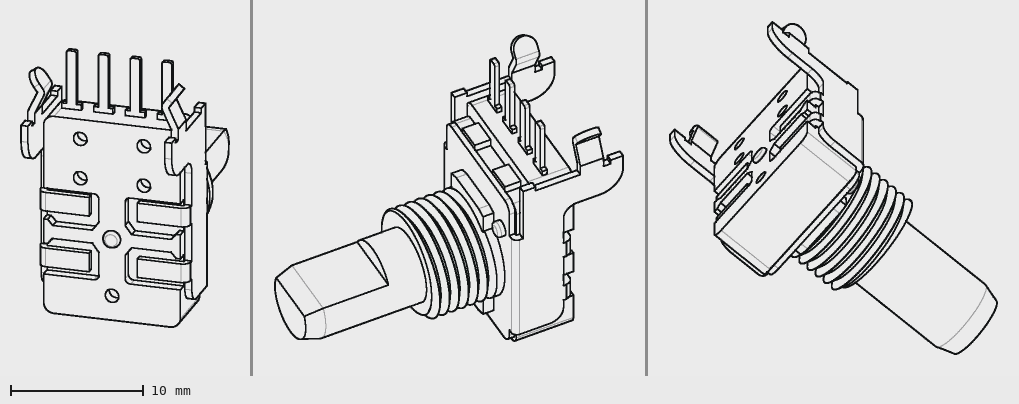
import cadquery as cq
import math


BODY_HALF_WIDTH = 5.4
BODY_TOP = 9.39
BODY_BOTTOM = -6.6
BODY_DEPTH = 4.85
BODY_CORNER_RADIUS = 0.8
REAR_BLOCK_DEPTH = 3.5
FRONT_BLOCK_TOP = 7.85
FRONT_BLOCK_RADIUS = 0.6
LUG_TOP = 8.48
LUG_INNER = 1.48
LUG_OUTER = 3.51

HOLE_RADIUS = 0.53
HOLE_DEPTH = 1.0
HOLE_CENTERS = [(-2.5, 7.8), (2.5, 7.8), (-2.5, 4.62), (2.5, 4.62), (0, -4.62)]
RIVET_RADIUS = 0.68
RIVET_HEIGHT = 0.3
RIVET_ROUND = 0.2
POCKET_DEPTH = 0.85
POCKET_FAR = 3.5
POCKET_NEAR = 0.53
POCKET_INNER_X = 1.03
POCKET_ROUND = 0.43
POCKET_CHAMFER_X = 0.53
POCKET_CHAMFER_Z = 0.7
POCKET_MOUTH_Z = 0.98
POCKET_MOUTH_X = 5.07
POCKET_SLOPE_X = 4.67

PLATE_THICKNESS = 0.48
PLATE_HALF_WIDTH = 5.2
PLATE_TOP = 8.08
PLATE_BOTTOM = -6.5
PLATE_TOP_RADIUS = 0.8
PLATE_BOTTOM_RADIUS = 1.03
WING_THICKNESS = 0.55
WING_TOP = 10.0
WING_NOTCH_TOP = 9.61
WING_FRONT = 4.55
WING_REAR = -3.92
WING_REAR_NOTCH = -2.85
WING_ARM_BOTTOM = 6.75
WING_ARM_RADIUS = 1.95
WING_BACK = 1.13
BEND_ROUND_SHARE = 0.99
BEND_TOP = 5.02
BEND_BOTTOM = -4.97
TONGUE_CENTER = 2.25
TONGUE_WIDTH = 1.5
TONGUE_INNER_X = 1.9
TONGUE_SETBACK = 0.05

LEG_REAR = -2.25
LEG_WIDTH = 1.95
LEG_BEND_Z = 10.5
LEG_KNEE_Z = 12.12
LEG_LEAN = math.radians(25)
LEG_TIP_LEAN = math.radians(35.5)
LEG_TIP_LENGTH = 1.48

PIN_PITCH = 2.5
PIN_COUNT = 4
PIN_WIDTH = 0.78
PIN_TOP = 14.1
PIN_ROUND = 0.18
PIN_SHOULDER_WIDTH = 1.53
PIN_SHOULDER_TOP = 9.81
PIN_BACK = 1.78
PIN_THICKNESS = 0.4

BUSHING_RADIUS = 4.45
BUSHING_END = 11.2
THREAD_PITCH = 0.8
THREAD_DEPTH = 0.63
THREAD_CREST = 0.03
THREAD_TURNS = 7
THREAD_RUNOUT_TURNS = 0.75
THREAD_CLEARANCE = 0.013
SEAM_ANGLE = 30
KEY_END = 6.22
KEY_TOP = 5.37
KEY_BASE = 3.51
KEY_HALF_WIDTH = 2.6
KEY_FLAT_HALF_WIDTH = 1.85
KEY_SHOULDER = 5.15
BOSS_RADIUS = 0.63
BOSS_X = 3.97
BOSS_Z = 4.77
BOSS_HEIGHT = 0.6
BOSS_ROUND = 0.23
SHAFT_DIAMETER = 6.0
SHAFT_END = 21.18
SHAFT_TIP_LENGTH = 1.45
SHAFT_TIP_RADIUS = 2.55
FLAT_LENGTH = 6.98
FLAT_HEIGHT = 1.5
FLAT_TIP_HEIGHT = 1.08

SHAFT_RADIUS = SHAFT_DIAMETER / 2
PLATE_FRONT = BODY_DEPTH + PLATE_THICKNESS
THREAD_START = BUSHING_END + THREAD_PITCH * (THREAD_RUNOUT_TURNS - THREAD_TURNS)
WING_OUTER_X = BODY_HALF_WIDTH + WING_THICKNESS


def block(x_range, y_range, z_range):
    """Box given by its two bounds along each axis."""
    size = [high - low for low, high in (x_range, y_range, z_range)]
    corner = (x_range[0], y_range[0], z_range[0])
    return cq.Workplane("XY").box(*size, centered=False).translate(corner)


def facing_front(y):
    """XZ sketch plane at the given Y; extrude by a negative length to go toward +Y."""
    return cq.Workplane("XZ", origin=(0, y, 0))


def both_sides(solid):
    """The solid together with its mirror image across X = 0."""
    return solid.union(solid.mirror("YZ"))


def upright_block(half_width, bottom, top, y_range, bottom_radius, top_radius):
    """Upright block whose bottom and top corners have their own radii."""
    middle = (bottom + top) / 2
    low_half = block((-half_width, half_width), y_range, (bottom, middle))
    high_half = block((-half_width, half_width), y_range, (middle, top))
    low_half = low_half.faces("<Z").edges("|Y").fillet(bottom_radius)
    high_half = high_half.faces(">Z").edges("|Y").fillet(top_radius)
    return low_half.union(high_half).clean()


def pocket():
    """Recess at the upper left of the back face, open to the side."""
    side_x = -BODY_HALF_WIDTH
    inner_x = -POCKET_INNER_X
    outline = (
        facing_front(0)
        .moveTo(side_x, POCKET_FAR)
        .lineTo(inner_x - POCKET_ROUND, POCKET_FAR)
        .radiusArc((inner_x, POCKET_FAR - POCKET_ROUND), POCKET_ROUND)
        .lineTo(inner_x, POCKET_NEAR + POCKET_CHAMFER_Z)
        .lineTo(inner_x - POCKET_CHAMFER_X, POCKET_NEAR)
        .lineTo(-POCKET_SLOPE_X, POCKET_NEAR)
        .lineTo(-POCKET_MOUTH_X, POCKET_MOUTH_Z)
        .lineTo(side_x, POCKET_MOUTH_Z)
        .close()
    )
    return outline.extrude(-POCKET_DEPTH)


def housing():
    """Plastic housing with its lugs, back pockets, blind holes and centre rivet."""
    rear = upright_block(
        BODY_HALF_WIDTH, BODY_BOTTOM, BODY_TOP, (0, REAR_BLOCK_DEPTH),
        BODY_CORNER_RADIUS, BODY_CORNER_RADIUS,
    )
    front = upright_block(
        BODY_HALF_WIDTH, BODY_BOTTOM, FRONT_BLOCK_TOP, (REAR_BLOCK_DEPTH, BODY_DEPTH),
        BODY_CORNER_RADIUS, FRONT_BLOCK_RADIUS,
    )
    lug = block((LUG_INNER, LUG_OUTER), (REAR_BLOCK_DEPTH, BODY_DEPTH), (0, LUG_TOP))
    body = rear.union(front).union(both_sides(lug))

    upper_pockets = both_sides(pocket())
    body = body.cut(upper_pockets).cut(upper_pockets.mirror("XY"))
    holes = facing_front(0).pushPoints(HOLE_CENTERS).circle(HOLE_RADIUS).extrude(-HOLE_DEPTH)
    rivet = facing_front(0).circle(RIVET_RADIUS).extrude(RIVET_HEIGHT)
    rivet = rivet.faces("<Y").edges().fillet(RIVET_ROUND)
    return body.cut(holes).union(rivet)


def wing():
    """Left side wall of the bracket, cut to an outline in Y and Z."""
    outline = (
        cq.Workplane("YZ", origin=(-WING_OUTER_X, 0, 0))
        .moveTo(WING_FRONT, WING_TOP)
        .lineTo(WING_FRONT, BEND_TOP)
        .lineTo(BODY_DEPTH, BEND_TOP)
        .lineTo(BODY_DEPTH, BEND_BOTTOM)
        .lineTo(WING_BACK + WING_BACK, BEND_BOTTOM)
        .radiusArc((WING_BACK, BEND_BOTTOM + WING_BACK), WING_BACK)
        .lineTo(WING_BACK, WING_ARM_BOTTOM - WING_BACK)
        .radiusArc((0, WING_ARM_BOTTOM), -WING_BACK)
        .lineTo(WING_REAR + WING_ARM_RADIUS, WING_ARM_BOTTOM)
        .radiusArc((WING_REAR, WING_ARM_BOTTOM + WING_ARM_RADIUS), WING_ARM_RADIUS)
        .lineTo(WING_REAR, WING_TOP)
        .lineTo(WING_REAR_NOTCH, WING_TOP)
        .lineTo(WING_REAR_NOTCH, WING_NOTCH_TOP)
        .lineTo(REAR_BLOCK_DEPTH, WING_NOTCH_TOP)
        .lineTo(REAR_BLOCK_DEPTH, WING_TOP)
        .close()
    )
    return outline.extrude(WING_THICKNESS)


def snap_leg():
    """Leg above the left wing: it leans inward to a knee, then outward to a round tip."""
    inner_x = -BODY_HALF_WIDTH
    foot_z = WING_ARM_BOTTOM + WING_ARM_RADIUS
    knee_x = -WING_OUTER_X + (LEG_KNEE_Z - LEG_BEND_Z) * math.tan(LEG_LEAN)

    def around_knee(angle):
        """Point one thickness away from the knee, on its inner side."""
        x = knee_x + WING_THICKNESS * math.cos(angle)
        z = LEG_KNEE_Z + WING_THICKNESS * math.sin(angle)
        return (x, z)

    tip_start = around_knee(LEG_TIP_LEAN)
    lower = (
        facing_front(LEG_REAR)
        .moveTo(-WING_OUTER_X, foot_z)
        .lineTo(-WING_OUTER_X, LEG_BEND_Z)
        .lineTo(knee_x, LEG_KNEE_Z)
        .lineTo(*tip_start)
        .threePointArc(around_knee(0), around_knee(-LEG_LEAN))
        .lineTo(inner_x, LEG_BEND_Z - WING_THICKNESS * math.tan(LEG_LEAN / 2))
        .lineTo(inner_x, foot_z)
        .close()
        .extrude(-LEG_WIDTH)
    )

    tip_plane = cq.Plane(
        origin=(knee_x, LEG_REAR + LEG_WIDTH / 2, LEG_KNEE_Z),
        xDir=(0, 1, 0),
        normal=(math.cos(LEG_TIP_LEAN), 0, math.sin(LEG_TIP_LEAN)),
    )
    half_width = LEG_WIDTH / 2
    straight = LEG_TIP_LENGTH - half_width
    tip = (
        cq.Workplane(tip_plane)
        .moveTo(half_width, 0)
        .lineTo(half_width, straight)
        .threePointArc((0, LEG_TIP_LENGTH), (-half_width, straight))
        .lineTo(-half_width, 0)
        .close()
        .extrude(WING_THICKNESS)
    )
    return lower.union(tip)


def tongue():
    """Finger bent from the left wing into the upper left pocket."""
    bend_x = TONGUE_SETBACK - WING_OUTER_X
    rear = POCKET_DEPTH - WING_THICKNESS
    finger = (
        cq.Workplane("XY", origin=(0, 0, TONGUE_CENTER))
        .moveTo(bend_x, POCKET_DEPTH)
        .radiusArc((bend_x + WING_THICKNESS, rear), -WING_THICKNESS)
        .lineTo(-TONGUE_INNER_X, rear)
        .lineTo(-TONGUE_INNER_X, POCKET_DEPTH)
        .close()
        .extrude(TONGUE_WIDTH / 2, both=True)
    )
    z_range = (TONGUE_CENTER - TONGUE_WIDTH / 2, TONGUE_CENTER + TONGUE_WIDTH / 2)
    root = block((-WING_OUTER_X, -BODY_HALF_WIDTH), (POCKET_DEPTH, WING_BACK), z_range)
    return finger.union(root)


def bracket():
    """Sheet-metal front plate bent back into two side wings."""
    plate = upright_block(
        PLATE_HALF_WIDTH, PLATE_BOTTOM, PLATE_TOP, (BODY_DEPTH, PLATE_FRONT),
        PLATE_BOTTOM_RADIUS, PLATE_TOP_RADIUS,
    )
    bend = block((-WING_OUTER_X, WING_OUTER_X), (BODY_DEPTH, PLATE_FRONT), (BEND_BOTTOM, BEND_TOP))
    bend = bend.faces(">Y").edges("|Z").fillet(PLATE_THICKNESS * BEND_ROUND_SHARE)
    fingers = tongue().union(tongue().mirror("XY"))
    side = wing().union(snap_leg()).union(fingers)
    return plate.union(bend).union(both_sides(side))


def pins():
    """Row of flat terminal pins, each with a wider shoulder at its foot."""
    row = cq.Workplane("XY")
    y_range = (PIN_BACK, PIN_BACK + PIN_THICKNESS)
    shoulder_half = PIN_SHOULDER_WIDTH / 2
    for index in range(PIN_COUNT):
        x = (index - (PIN_COUNT - 1) / 2) * PIN_PITCH
        pin = block((x - PIN_WIDTH / 2, x + PIN_WIDTH / 2), y_range, (BODY_TOP, PIN_TOP))
        pin = pin.faces(">Z").edges("|Y").fillet(PIN_ROUND)
        shoulder = block((x - shoulder_half, x + shoulder_half), y_range, (BODY_TOP, PIN_SHOULDER_TOP))
        row = row.union(pin).union(shoulder)
    return row


def thread_groove():
    """Right-handed V groove that starts at the bottom (-Z) of the bushing and runs out of its end."""
    root_radius = BUSHING_RADIUS - THREAD_DEPTH
    cut_radius = BUSHING_RADIUS + THREAD_CLEARANCE
    half_at_surface = (THREAD_PITCH - THREAD_CREST) / 2
    half_at_cut = half_at_surface * (cut_radius - root_radius) / THREAD_DEPTH
    path = cq.Wire.makeHelix(THREAD_PITCH, THREAD_PITCH * THREAD_TURNS, root_radius)
    groove = (
        cq.Workplane("XZ")
        .polyline([(root_radius, 0), (cut_radius, -half_at_cut), (cut_radius, half_at_cut)])
        .close()
        .sweep(cq.Workplane(path), isFrenet=True)
    )
    upright = groove.rotate((0, 0, 0), (0, 0, 1), 90).rotate((0, 0, 0), (1, 0, 0), -90)
    return upright.translate((0, THREAD_START, 0))


def bushing():
    """Threaded barrel with the locating key and two bosses at its foot."""
    barrel = facing_front(BODY_DEPTH).circle(BUSHING_RADIUS).extrude(BODY_DEPTH - BUSHING_END)
    barrel = barrel.rotate((0, 0, 0), (0, 1, 0), SEAM_ANGLE).cut(thread_groove())
    half_key = (
        facing_front(PLATE_FRONT)
        .moveTo(-KEY_HALF_WIDTH, KEY_BASE)
        .lineTo(-KEY_HALF_WIDTH, KEY_SHOULDER)
        .lineTo(-KEY_FLAT_HALF_WIDTH, KEY_TOP)
        .lineTo(KEY_FLAT_HALF_WIDTH, KEY_TOP)
        .lineTo(KEY_HALF_WIDTH, KEY_SHOULDER)
        .lineTo(KEY_HALF_WIDTH, KEY_BASE)
        .close()
        .extrude(PLATE_FRONT - KEY_END)
    )
    bosses = (
        facing_front(PLATE_FRONT)
        .pushPoints([(-BOSS_X, BOSS_Z), (BOSS_X, -BOSS_Z)])
        .circle(BOSS_RADIUS)
        .extrude(-BOSS_HEIGHT)
        .faces(">Y")
        .edges()
        .fillet(BOSS_ROUND)
    )
    return barrel.union(half_key).union(half_key.mirror("XY")).union(bosses)


def shaft():
    """D-shaped shaft with a tapered tip."""
    tip_start = SHAFT_END - SHAFT_TIP_LENGTH
    rod = (
        cq.Workplane("XY")
        .moveTo(0, BUSHING_END)
        .lineTo(SHAFT_RADIUS, BUSHING_END)
        .lineTo(SHAFT_RADIUS, tip_start)
        .lineTo(SHAFT_TIP_RADIUS, SHAFT_END)
        .lineTo(0, SHAFT_END)
        .close()
        .revolve(360, (0, 0, 0), (0, 1, 0))
    )
    flat = (
        cq.Workplane("YZ")
        .moveTo(SHAFT_END - FLAT_LENGTH, FLAT_HEIGHT)
        .lineTo(tip_start, FLAT_HEIGHT)
        .lineTo(SHAFT_END, FLAT_TIP_HEIGHT)
        .lineTo(SHAFT_END, SHAFT_RADIUS)
        .lineTo(SHAFT_END - FLAT_LENGTH, SHAFT_RADIUS)
        .close()
        .extrude(SHAFT_RADIUS, both=True)
    )
    return rod.cut(flat)


result = housing().union(bracket()).union(pins()).union(bushing()).union(shaft())